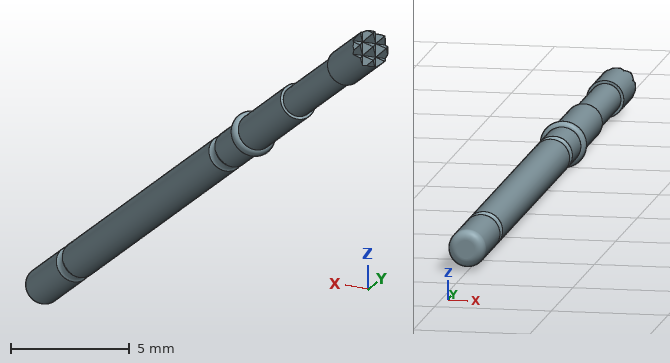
import cadquery as cq
import math

length = 35.4
barrel_diameter = 1.6
barrel_radius = barrel_diameter / 2
plunger_radius = 0.67
head_length = 3.0
barrel_start = 8.0

ring_radius = 1.0
ring_position = 12.75
ring_width = 0.53

groove_positions = (15.3, 31.5)
groove_width = 0.65
groove_depth = 0.152

tail_radius = 0.4

tooth_pitch = 0.6
tooth_angle = 70.0
teeth_across = 3

tip_y = length / 2


def along(distance):
    """Y coordinate at a distance back from the tip."""
    return tip_y - distance


def revolve_about_y(profile):
    """Solid made by turning an open half outline about the probe's axis."""
    return profile.close().revolve(360, (0, 0, 0), (0, 1, 0))


def body():
    """Head, thinner plunger neck and barrel with a rounded tail."""
    tail_arc_offset = tail_radius * math.sin(math.radians(45))
    tail_center_radius = barrel_radius - tail_radius
    tail_center_y = along(length - tail_radius)
    profile = (
        cq.Workplane("XY")
        .moveTo(0, tip_y)
        .lineTo(barrel_radius, tip_y)
        .lineTo(barrel_radius, along(head_length))
        .lineTo(plunger_radius, along(head_length))
        .lineTo(plunger_radius, along(barrel_start))
        .lineTo(barrel_radius, along(barrel_start))
        .lineTo(barrel_radius, tail_center_y)
        .threePointArc(
            (tail_center_radius + tail_arc_offset, tail_center_y - tail_arc_offset),
            (tail_center_radius, along(length)),
        )
        .lineTo(0, along(length))
    )
    return revolve_about_y(profile)


def stop_ring():
    """Collar with a half-round rim."""
    rim_radius = ring_width / 2
    rim_center = ring_radius - rim_radius
    profile = (
        cq.Workplane("XY")
        .moveTo(0, along(ring_position - rim_radius))
        .lineTo(rim_center, along(ring_position - rim_radius))
        .threePointArc(
            (ring_radius, along(ring_position)),
            (rim_center, along(ring_position + rim_radius)),
        )
        .lineTo(0, along(ring_position + rim_radius))
    )
    return revolve_about_y(profile)


def crimp_groove(position):
    """Ring-shaped cutter with a round bottom."""
    half_width = groove_width / 2
    profile = (
        cq.Workplane("XY")
        .moveTo(barrel_radius, along(position - half_width))
        .threePointArc(
            (barrel_radius - groove_depth, along(position)),
            (barrel_radius, along(position + half_width)),
        )
        .lineTo(barrel_radius + groove_depth, along(position))
    )
    return revolve_about_y(profile)


def tooth_cuts():
    """Parallel V cuts straight across the tip along Z, leaving pointed ridges between them."""
    cuts = cq.Workplane("XY")
    depth = tooth_pitch / 2 / math.tan(math.radians(tooth_angle / 2))
    for index in range(teeth_across + 1):
        middle = (index - teeth_across / 2) * tooth_pitch
        cuts = (
            cuts.moveTo(middle - tooth_pitch / 2, tip_y)
            .lineTo(middle, along(depth))
            .lineTo(middle + tooth_pitch / 2, tip_y)
            .close()
        )
    return cuts.extrude(barrel_diameter, both=True)


result = body().union(stop_ring())
for groove_position in groove_positions:
    result = result.cut(crimp_groove(groove_position))

for turn in (0, 90):
    result = result.cut(tooth_cuts().rotate((0, 0, 0), (0, 1, 0), turn))